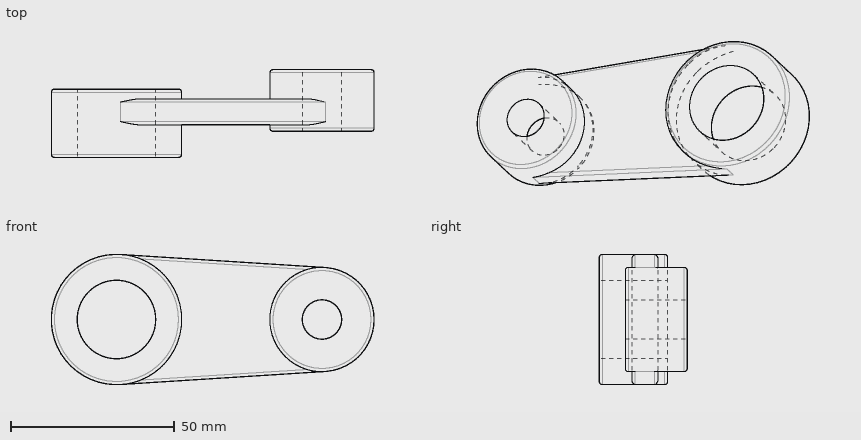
import cadquery as cq
import math

CENTER_DISTANCE = 63.0

LARGE_DIAMETER = 40.0
LARGE_BORE = 24.0
LARGE_FRONT = -14.0
LARGE_BACK = 7.0

SMALL_DIAMETER = 32.0
SMALL_BORE = 12.0
SMALL_FRONT = -6.0
SMALL_BACK = 13.0

WEB_THICKNESS = 8.0
EDGE_RADIUS = 1.0


def cylinder(x, diameter, front, back):
    """Cylinder along Y, centred at (x, 0) in the XZ plane."""
    return (
        cq.Workplane("XZ", origin=(x, front, 0))
        .circle(diameter / 2)
        .extrude(front - back)
    )


def boss(x, diameter, front, back):
    """Cylinder with both rims rounded."""
    return cylinder(x, diameter, front, back).edges("%CIRCLE").fillet(EDGE_RADIUS)


def web():
    """Tapered plate bounded by the common outer tangents of the bosses."""
    large_radius = LARGE_DIAMETER / 2
    small_radius = SMALL_DIAMETER / 2
    normal_x = (large_radius - small_radius) / CENTER_DISTANCE
    normal_z = math.sqrt(1 - normal_x**2)
    large_x, large_z = large_radius * normal_x, large_radius * normal_z
    small_x = CENTER_DISTANCE + small_radius * normal_x
    small_z = small_radius * normal_z
    plate = (
        cq.Workplane("XZ", origin=(0, -WEB_THICKNESS / 2, 0))
        .moveTo(large_x, large_z)
        .lineTo(small_x, small_z)
        .lineTo(small_x, -small_z)
        .lineTo(large_x, -large_z)
        .close()
        .extrude(-WEB_THICKNESS)
    )
    long_edges = plate.faces(">Z or <Z").edges(">Y or <Y")
    return long_edges.fillet(EDGE_RADIUS)


body = (
    web()
    .union(boss(0, LARGE_DIAMETER, LARGE_FRONT, LARGE_BACK))
    .union(boss(CENTER_DISTANCE, SMALL_DIAMETER, SMALL_FRONT, SMALL_BACK))
)
large_bore = cylinder(0, LARGE_BORE, LARGE_FRONT, LARGE_BACK)
small_bore = cylinder(CENTER_DISTANCE, SMALL_BORE, SMALL_FRONT, SMALL_BACK)

result = body.cut(large_bore).cut(small_bore)